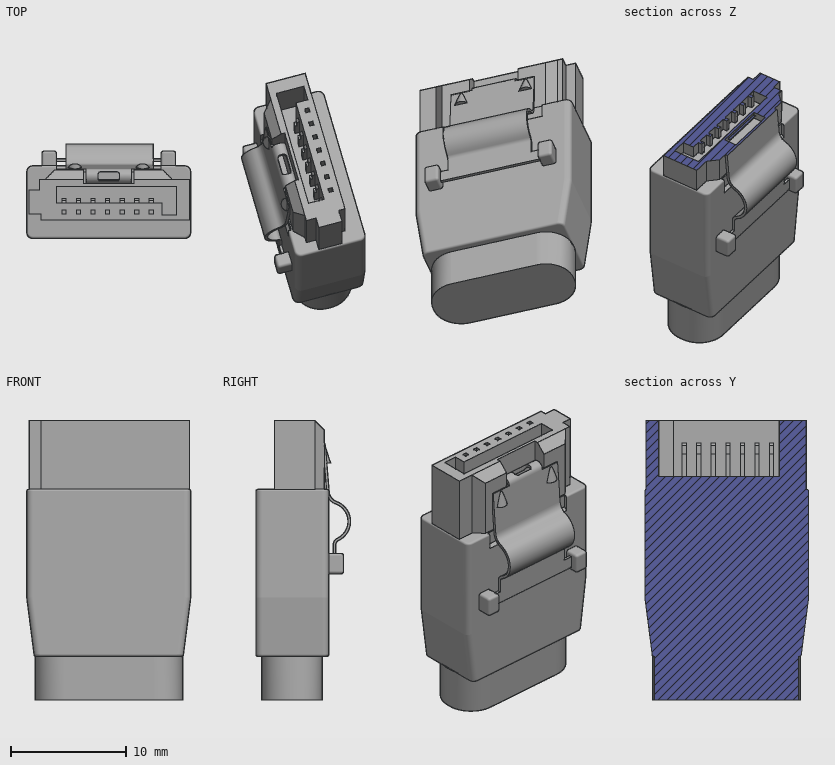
import cadquery as cq
import math

total_height = 24.25

body_width = 14.23
body_depth = 6.33
body_bottom = 3.78
body_top = 18.28
taper_start = 8.87
body_bottom_width = 12.92
body_corner_radius = 0.55
body_end_fillet = 0.2

plug_width = 12.8
plug_depth = 5.25
plug_corner_radius = 2.5
plug_center = (0.02, 3.13)

shell_right = 7.0
shell_front = 1.6
shell_rear = 5.11
ridge_rear = 5.95
ridge_half_width = 4.7
ridge_chamfer = ridge_rear - shell_rear
tab_left = -6.9
tab_front = 2.15
tab_rear = 4.25
shell_left_front = -5.87
shell_left_rear = -6.0

socket_left = -4.53
socket_right = 5.9
socket_front = 3.1
socket_rear = 4.5
socket_depth = 4.85
key_left = 4.6
key_front = 2.04

contact_count = 7
contact_pitch = 1.25
contact_center_x = -0.1
contact_width = 0.36
contact_tip_drop = 1.95
contact_crest = 0.22
contact_foot = 0.39
contact_foot_drop = 0.97
hole_center_y = 2.33
hole_depth = 1.45

slot_width = 4.4
slot_front = 4.78
slot_bottom = 19.88

pillar_width = 1.28
pillar_center_x = 5.16
pillar_rear = 7.6
pillar_bottom = 10.93
pillar_top = 12.73
pillar_fillet = 0.25

spring_center_x = 0.07
spring_thickness = 0.25
spring_width = 7.59
hook_width = 3.93
foot_y = 6.8
foot_bottom = 11.27
foot_top = 12.36
bow_center = (6.38, 15.5)
bow_radius = 1.72
lower_bend_radius = 0.58
upper_bend_radius = 1.1
arm_base = (6.2, 18.57)
arm_tilt = math.radians(4.8)
arm_top = 22.0
hook_radius = 0.5
hook_leg = 1.45
window_width = 1.85
window_depth = 0.8
window_corner_radius = 0.25

recess_width = 2 * pillar_center_x - pillar_width
recess_front = 6.05
recess_bottom = 17.1

barb_x = 2.93
barb_bottom = 20.53
barb_y = 5.82
barb_radius = 0.68
barb_tip_radius = 0.2


def box(left, right, front, rear, bottom, top):
    """Box given by its six limits."""
    size = (right - left, rear - front, top - bottom)
    return cq.Workplane("XY").box(*size, centered=False).translate((left, front, bottom))


def side_prism(points, width, center_x=0.0):
    """Y-Z outline extruded symmetrically in X."""
    prism = cq.Workplane("YZ").polyline(points).close().extrude(width / 2, both=True)
    return prism.translate((center_x, 0, 0))


def make_body():
    half_top = body_width / 2
    half_bottom = body_bottom_width / 2
    outline = [
        (-half_bottom, body_bottom),
        (half_bottom, body_bottom),
        (half_top, taper_start),
        (half_top, body_top),
        (-half_top, body_top),
        (-half_top, taper_start),
    ]
    body = cq.Workplane("XZ").polyline(outline).close().extrude(-body_depth)
    body = body.edges("not(|Y or >Z or <Z)").fillet(body_corner_radius)
    body = body.faces("<Z or >Z").edges().fillet(body_end_fillet)
    depth = body_depth - recess_front
    recess = [
        (recess_front, recess_bottom),
        (body_depth, recess_bottom - depth),
        (body_depth, body_top),
        (recess_front, body_top),
    ]
    return body.cut(side_prism(recess, recess_width))


def make_plug():
    return (
        cq.Workplane("XY")
        .rect(plug_width, plug_depth)
        .extrude(body_bottom)
        .edges("|Z")
        .fillet(plug_corner_radius)
        .translate((*plug_center, 0))
    )


def make_shell():
    ridge_base = ridge_half_width + ridge_chamfer
    outline = [
        (shell_left_front, shell_front),
        (shell_right, shell_front),
        (shell_right, shell_rear),
        (ridge_base, shell_rear),
        (ridge_half_width, ridge_rear),
        (-ridge_half_width, ridge_rear),
        (-ridge_base, shell_rear),
        (shell_left_rear, shell_rear),
        (shell_left_rear, tab_rear),
        (tab_left, tab_rear),
        (tab_left, tab_front),
        (shell_left_front, tab_front),
    ]
    bottom = body_top - body_end_fillet
    shell = cq.Workplane("XY").workplane(offset=bottom).polyline(outline).close()
    shell = shell.extrude(total_height - bottom)
    ramp = [
        (shell_rear, total_height),
        (ridge_rear, total_height - ridge_chamfer),
        (ridge_rear, total_height),
    ]
    shell = shell.cut(side_prism(ramp, 2 * ridge_base))
    half_slot = slot_width / 2
    return shell.cut(box(-half_slot, half_slot, slot_front, ridge_rear, slot_bottom, total_height))


def cut_socket(part):
    floor = total_height - socket_depth
    part = part.cut(box(socket_left, socket_right, socket_front, socket_rear, floor, total_height))
    return part.cut(box(key_left, socket_right, key_front, socket_front, floor, total_height))


def contact_positions():
    first = contact_center_x - contact_pitch * (contact_count - 1) / 2
    return [first + contact_pitch * i for i in range(contact_count)]


def add_contacts(part):
    """Contacts on the front wall of the socket, and a square hole in front of each."""
    floor = total_height - socket_depth
    tip = total_height - contact_tip_drop
    crest_y = socket_front + contact_crest
    contact_rear = socket_front + contact_foot
    profile = [
        (socket_front, floor),
        (contact_rear, floor),
        (contact_rear, tip - contact_foot_drop),
        (crest_y, tip - contact_foot_drop),
        (crest_y, tip - contact_crest),
        (socket_front, tip),
    ]
    half = contact_width / 2
    for x in contact_positions():
        part = part.union(side_prism(profile, contact_width, x))
        hole = box(
            x - half, x + half, hole_center_y - half, hole_center_y + half,
            total_height - hole_depth, total_height,
        )
        part = part.cut(hole)
    return part


def make_pillar(x):
    half = pillar_width / 2
    pillar = box(x - half, x + half, body_depth / 2, pillar_rear, pillar_bottom, pillar_top)
    return pillar.edges("|Y or >Y").fillet(pillar_fillet)


def between(start, end, fraction):
    return tuple(a + (b - a) * fraction for a, b in zip(start, end))


def make_spring():
    """Strip running up from the foot, around the bow, along the arm and over the hook."""
    along = (-math.sin(arm_tilt), math.cos(arm_tilt))
    outward = (math.cos(arm_tilt), math.sin(arm_tilt))

    def on_arm(out, up):
        return tuple(arm_base[i] + out * outward[i] + up * along[i] for i in range(2))

    lower_y = foot_y + lower_bend_radius
    lower_rise = math.sqrt((bow_radius + lower_bend_radius) ** 2 - (lower_y - bow_center[0]) ** 2)
    lower_center = (lower_y, bow_center[1] - lower_rise)
    bow_start = between(bow_center, lower_center, bow_radius / (bow_radius + lower_bend_radius))

    offset = [bow_center[i] - arm_base[i] for i in range(2)]
    bow_out = offset[0] * outward[0] + offset[1] * outward[1]
    bow_up = offset[0] * along[0] + offset[1] * along[1]
    reach = bow_radius + upper_bend_radius
    arm_start = bow_up + math.sqrt(reach ** 2 - (upper_bend_radius - bow_out) ** 2)
    upper_center = on_arm(upper_bend_radius, arm_start)
    bow_end = between(bow_center, upper_center, bow_radius / reach)

    arm_end = (arm_top - arm_base[1]) / along[1]
    strip_path = (
        cq.Workplane("YZ")
        .moveTo(foot_y, foot_bottom)
        .lineTo(foot_y, lower_center[1])
        .tangentArcPoint(bow_start, relative=False)
        .tangentArcPoint(bow_end, relative=False)
        .tangentArcPoint(on_arm(0, arm_start), relative=False)
        .lineTo(*on_arm(0, arm_end))
    )
    strip = cq.Workplane("XY", origin=(0, foot_y, foot_bottom))
    strip = strip.rect(spring_width, spring_thickness).sweep(strip_path)
    strip = strip.translate((spring_center_x, 0, 0))

    hook_start = on_arm(0, arm_start)
    hook_path = (
        cq.Workplane("YZ")
        .moveTo(*hook_start)
        .lineTo(*on_arm(0, arm_end))
        .tangentArcPoint(on_arm(-2 * hook_radius, arm_end), relative=False)
        .lineTo(*on_arm(-2 * hook_radius, arm_end - hook_leg))
    )
    hook_plane = cq.Plane(origin=(0, *hook_start), xDir=(1, 0, 0), normal=(0, *along))
    hook = cq.Workplane(hook_plane).rect(hook_width, spring_thickness).sweep(hook_path)

    window_y = on_arm(-hook_radius, arm_end)[0]
    window = (
        cq.Workplane("XY", origin=(0, window_y, arm_top))
        .rect(window_width, window_depth)
        .extrude(2 * hook_radius)
        .edges("|Z")
        .fillet(window_corner_radius)
    )
    return strip.union(hook.cut(window))


def make_foot():
    half_length = recess_width / 2
    half = spring_thickness / 2
    return box(-half_length, half_length, foot_y - half, foot_y + half, foot_bottom, foot_top)


def make_barb(x):
    """Frustum standing half out of the spring arm, with its flat end down."""
    cone = cq.Solid.makeCone(barb_radius, barb_tip_radius, arm_top - barb_bottom)
    return cq.Workplane(cone.translate(cq.Vector(x, barb_y, barb_bottom)))


connector = add_contacts(cut_socket(make_shell()))
result = make_body().union(make_plug()).union(connector)
result = result.union(make_spring()).union(make_foot())
for side in (-1, 1):
    result = result.union(make_pillar(side * pillar_center_x))
    result = result.union(make_barb(side * barb_x))